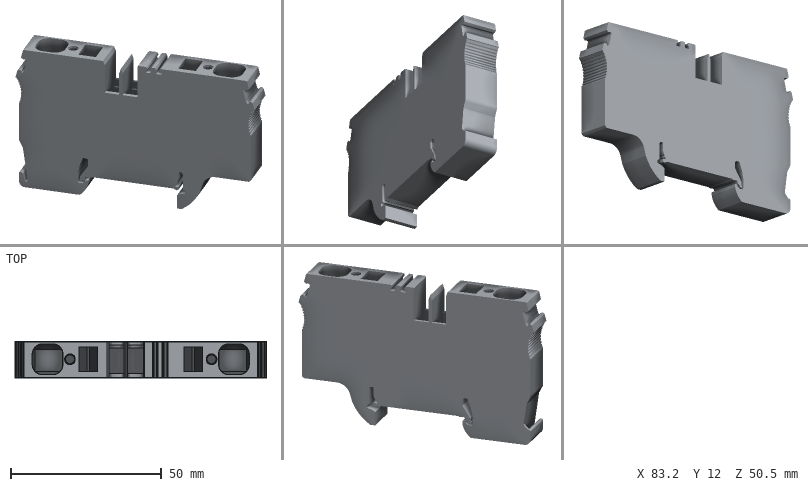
import cadquery as cq
import math

length = 83.2
width = 12.0
height = 50.5

half_length = length / 2
front_y = -width / 2
body_half = 40.45
rail_z = 7.2
shoulder_z = 13.5

grip_radius = 10.2
grip_half = 39.7
grip_z = 34.4
grip_top_z = 39.45
grip_bottom_z = grip_z - math.sqrt(grip_radius ** 2 - (grip_radius - body_half + grip_half) ** 2)
grip_groove_count = 9
grip_groove_pitch = 1.0
grip_groove_width = 0.6
first_groove_z = 31.05


def grip_distance(z):
    """Distance of the grip arc from the mid plane at height z."""
    return grip_half + grip_radius - math.sqrt(grip_radius ** 2 - (z - grip_z) ** 2)


grip_top = (grip_distance(grip_top_z), grip_top_z)
grip_middle = (grip_half, grip_z)
grip_bottom = (body_half, grip_bottom_z)

end_profile = [
    (38.8, height), (39.0, 50.3), (39.7, 47.5), (38.9, 46.95), (38.7, 47.1), (37.9, 47.1), (37.6, 46.7),
    (38.6, 42.8), (39.0, 42.2), (39.5, 42.2), (39.6, 42.6), (40.0, 42.95), (40.5, 42.95),
    (40.95, 42.5), (half_length, 40.1), (41.4, 39.95), grip_top,
]

channel_left = -10.5
channel_right = 0.9
channel_edge_chamfer = 0.25
channel_floor_z = 38.95
channel_chamfer_width = 0.7
channel_chamfer_height = 1.5
partition_left = -5.5
partition_right = -4.3
partition_tip_z = 48.6
partition_taper_z = 46.9
recess_front_y = -4.6
recess_step_y = 3.9
recess_back_y = 4.9
recess_depth = 5.0
recess_step_depth = 2.5

marker_floor_z = 48.45
marker_undercut_z = 49.3

opening_y = 0.2
wire_x = 30.9
wire_side = 10.2
wire_corner_radius = 3.6
wire_floor_outer = 35.05
wire_floor_inner = 26.0
wire_floor_back_y = 3.5
wire_floor_front_y = -3.9
wire_straight_depth = 10.0
wire_funnel_depth = 2.9
test_x = 23.5
test_diameter = 3.0
test_mouth_diameter = 3.5
test_mouth_depth = 0.5
test_depth = 10.0
driver_x = 17.4
driver_length = 6.2
driver_width = 8.1
driver_floor_length = 0.75
driver_straight_depth = 12.5
driver_funnel_depth = 5.8

notch_web = 1.0
slope_top = (-39.0, 14.5)
notch_bottom = (-37.4, 3.0)
web_top_z = 7.1
web_top_share = (web_top_z - notch_bottom[1]) / (slope_top[1] - notch_bottom[1])
web_top = (notch_bottom[0] + web_top_share * (slope_top[0] - notch_bottom[0]), web_top_z)


def mirrored(points):
    return [(-x, z) for x, z in points]


def line_through(path, points):
    for point in points:
        path = path.lineTo(*point)
    return path


def through_cut(body, points):
    tool = cq.Workplane("XZ").polyline(points).close().extrude(width, both=True)
    return body.cut(tool)


def box_between(x_min, x_max, y_min, y_max, z_min, z_max):
    size = (x_max - x_min, y_max - y_min, z_max - z_min)
    return cq.Workplane("XY").box(*size, centered=False).translate((x_min, y_min, z_min))


def housing():
    path = cq.Workplane("XZ").moveTo(*end_profile[0])
    path = line_through(path, end_profile[1:])
    path = path.threePointArc(grip_middle, grip_bottom)
    path = line_through(path, [(body_half, 14.2), (39.7, shoulder_z), (27.9, shoulder_z)])
    path = path.threePointArc((25.1, 12.5), (23.55, 10.4)).lineTo(22.6, 7.3)
    path = path.threePointArc((20.2, 3.4), (16.2, 0))
    path = line_through(path, [(14.6, 0), (14.6, 4.75), (15.6, 5.4), (17.5, 5.9), (17.5, 6.8), (17.15, rail_z)])
    path = line_through(path, [(15.1, rail_z), (15.1, 6.9), (14.5, 6.7), (13.4, rail_z)])
    path = line_through(path, [(-14.9, rail_z), (-15.2, 6.9), (-16.4, 6.9), (-16.65, 7.1), (-17.4, 6.75)])
    path = line_through(path, [(-17.4, 5.7), (-16.3, 5.7), (-16.3, 4.6)])
    path = path.threePointArc((-17.2, 2.25), (-19.3, 0)).lineTo(-38.7, 0)
    path = path.threePointArc((-39.95, 0.8), (-body_half, 2.2))
    path = path.lineTo(-body_half, 4.75).threePointArc((-40.3, 5.25), (-39.8, 5.4))
    path = line_through(path, [(-39.5, 5.4), (-38.3, 6.7), web_top, slope_top])
    path = line_through(path, [(-39.4, 15.15), (-40.0, 16.4)])
    path = path.threePointArc((-40.4, 17.15), (-body_half, 18.1))
    path = path.lineTo(-grip_bottom[0], grip_bottom[1])
    path = path.threePointArc(*mirrored([grip_middle, grip_top]))
    path = line_through(path, mirrored(end_profile[-2::-1]))
    return path.close().extrude(width / 2, both=True)


def cut_grip_grooves(body):
    for index in range(grip_groove_count):
        z = first_groove_z + index * grip_groove_pitch
        x = grip_distance(z)
        grooves = cq.Workplane("XZ").pushPoints([(-x, z), (x, z)]).polygon(4, grip_groove_width)
        body = body.cut(grooves.extrude(width, both=True))
    return body


def cut_rail_clips(body):
    spring_slot = [
        (-19.9, 5.0), (-19.9, 8.0), (-19.4, 10.5), (-18.3, 13.3), (-18.0, 13.7), (-16.9, 13.7),
        (-16.3, 13.3), (-16.3, 11.1), (-19.15, 6.8), (-19.15, 5.75), (-19.4, 5.4), (-19.4, 4.9),
        (-18.6, 4.9), (-18.2, 5.7), (-17.6, 5.9), (-17.4, 6.5), (-17.3, 5.2), (-18.2, 4.4), (-19.65, 4.4),
    ]
    hook_slot = [
        (16.65, 6.7), (16.65, 12.8), (16.3, 13.5), (15.3, 13.5), (15.1, 13.15), (15.1, 10.5),
        (14.8, 9.65), (14.4, 9.15), (14.4, 8.6), (13.9, 8.4), (13.9, 7.9), (15.1, 7.9), (15.1, 6.7),
    ]
    body = through_cut(body, spring_slot)
    return through_cut(body, hook_slot)


def cut_release_notch(body):
    outline = [
        web_top, notch_bottom, (-37.5, 2.25), (-38.3, 2.25), (-39.0, 5.0), (-39.5, 5.4), (-38.3, 6.7),
    ]
    tool = cq.Workplane("XZ", origin=(0, front_y, 0)).polyline(outline).close().extrude(notch_web - width)
    return body.cut(tool)


def cut_jumper_channel(body):
    middle = (partition_left + partition_right) / 2
    left_bay = [
        (channel_left - channel_chamfer_width, height), (channel_left, height - channel_chamfer_height),
        (channel_left, channel_floor_z), (partition_left, channel_floor_z),
        (partition_left, partition_taper_z), (middle, partition_tip_z), (middle, height),
    ]
    right_bay = [
        (middle, height), (middle, partition_tip_z), (partition_right, partition_taper_z),
        (partition_right, channel_floor_z), (channel_right, channel_floor_z),
        (channel_right, height - channel_edge_chamfer), (channel_right + channel_edge_chamfer, height),
    ]
    body = through_cut(through_cut(body, left_bay), right_bay)
    for x_min, x_max in [(channel_left, partition_left), (partition_right, channel_right)]:
        deep_z = channel_floor_z - recess_depth
        step_z = channel_floor_z - recess_step_depth
        body = body.cut(box_between(x_min, x_max, recess_front_y, recess_step_y, deep_z, channel_floor_z))
        body = body.cut(box_between(x_min, x_max, recess_step_y, recess_back_y, step_z, channel_floor_z))
    return body


def cut_marker_grooves(body):
    left_groove = [
        (3.8, height), (4.1, 50.3), (4.3, 49.6), (3.8, marker_undercut_z), (3.8, marker_floor_z),
        (5.2, marker_floor_z), (5.5, 48.7), (5.5, 50.3), (5.75, height),
    ]
    right_groove = [
        (7.0, height), (7.4, 49.8), (7.4, 48.7), (7.7, marker_floor_z), (9.15, marker_floor_z),
        (9.15, marker_undercut_z), (8.65, 49.5), (8.65, 50.4), (9.1, height),
    ]
    return through_cut(through_cut(body, left_groove), right_groove)


def wire_funnel():
    """Rounded square opening of the -X side whose sides narrow to a rectangular floor."""
    funnel_z = height - wire_straight_depth
    depth = wire_straight_depth + wire_funnel_depth
    shaft = (
        cq.Workplane("XY", origin=(-wire_x, opening_y, height - depth))
        .rect(wire_side, wire_side).extrude(depth).edges("|Z").fillet(wire_corner_radius)
    )
    floor_x = -(wire_floor_outer + wire_floor_inner) / 2
    floor_y = (wire_floor_back_y + wire_floor_front_y) / 2
    taper = (
        cq.Workplane("XY", origin=(-wire_x, opening_y, funnel_z)).rect(wire_side, wire_side)
        .workplane(offset=-wire_funnel_depth)
        .center(floor_x + wire_x, floor_y - opening_y)
        .rect(wire_floor_outer - wire_floor_inner, wire_floor_back_y - wire_floor_front_y)
        .loft(ruled=True)
    )
    straight = (
        cq.Workplane("XY", origin=(-wire_x, opening_y, funnel_z))
        .rect(wire_side, wire_side).extrude(wire_straight_depth)
    )
    return shaft.intersect(straight.union(taper))


def test_hole():
    top = cq.Workplane("XY", origin=(-test_x, opening_y, height))
    mouth = top.circle(test_mouth_diameter / 2).extrude(-test_mouth_depth)
    return top.circle(test_diameter / 2).extrude(-test_depth).union(mouth)


def driver_slot():
    top = cq.Workplane("XY", origin=(-driver_x, opening_y, height))
    funnel = (
        top.workplane(offset=-driver_straight_depth).rect(driver_length, driver_width)
        .workplane(offset=-driver_funnel_depth).rect(driver_floor_length, driver_width).loft(ruled=True)
    )
    return top.rect(driver_length, driver_width).extrude(-driver_straight_depth).union(funnel)


def cut_top_openings(body):
    for tool in [wire_funnel(), test_hole(), driver_slot()]:
        body = body.cut(tool).cut(tool.mirror("YZ"))
    return body


result = housing()
result = cut_grip_grooves(result)
result = cut_rail_clips(result)
result = cut_release_notch(result)
result = cut_jumper_channel(result)
result = cut_marker_grooves(result)
result = cut_top_openings(result)